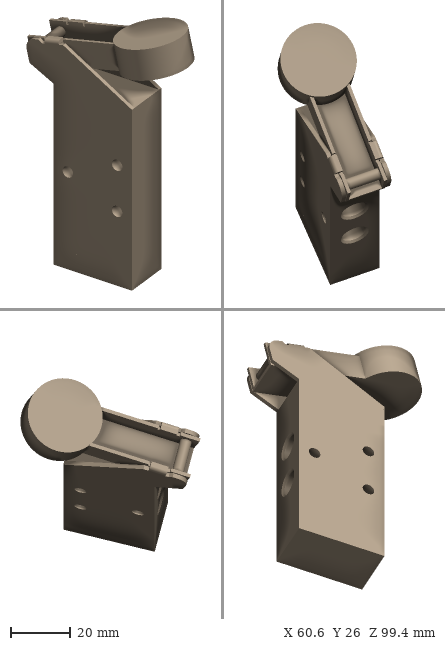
import cadquery as cq
import math

block_length = 31.9
block_width = 17.9
cap_height = 7.1
block_top = 69.1
cross_hole_diameter = 4.3
cross_hole_places = [(-10.1, 38.0), (9.9, 47.0), (9.9, 29.0)]
port_heights = [29.4, 46.5]
port_diameter = 8.7
port_mouth_diameter = 10.1
port_chamfer = (port_mouth_diameter - port_diameter) / 2
port_depth = 9.9

lever_tilt = 13.0
lever_corner_x = -27.8
lever_corner_z = 84.5
lever_width = 14.4
lever_depth = 10.0
lever_wall = 1.2
knob_diameter = 26.0
knob_height = 11.5
knob_center = 46.9
pin_diameter = 4.0
pin_inset = 4.0

sheet = 1.5
base_top = block_top + sheet
cheek_rear_depth = 9.1
cheek_shoulder = 15.9
cheek_ramp_start = 5.8
notch_start = 7.0
notch_end = 14.8
notch_depth = 1.3
tab_start = 8.1
tab_end = 14.1
tab_rise = 0.2
tab_overhang = 0.1
tab_bend_radius = 1.4


def to_block_frame(along, normal):
    """Return the X and Z of a point given in the tilted frame of the lever."""
    tilt = math.radians(lever_tilt)
    x = lever_corner_x + along * math.cos(tilt) - normal * math.sin(tilt)
    z = lever_corner_z + along * math.sin(tilt) + normal * math.cos(tilt)
    return x, z


def place_lever_part(part):
    """Move a part from the lever frame (x along, y across, z normal) to its tilted place."""
    return part.rotate((0, 0, 0), (0, 1, 0), -lever_tilt).translate((lever_corner_x, 0, lever_corner_z))


def box_between(x_range, y_range, z_range):
    """Make a box from its lower and upper limits along each axis."""
    sizes = [high - low for low, high in (x_range, y_range, z_range)]
    corner = (x_range[0], y_range[0], z_range[0])
    return cq.Workplane("XY").box(*sizes, centered=False).translate(corner)


def make_cap():
    """Plain end cap under the block."""
    return cq.Workplane("XY").box(block_length, block_width, cap_height, centered=(True, True, False))


def make_block():
    """Valve block with three through holes and two chamfered blind ports."""
    block = (
        cq.Workplane("XY")
        .box(block_length, block_width, block_top - cap_height, centered=(True, True, False))
        .translate((0, 0, cap_height))
    )
    cross_holes = (
        cq.Workplane("XZ")
        .pushPoints(cross_hole_places)
        .circle(cross_hole_diameter / 2)
        .extrude(block_width / 2, both=True)
    )
    block = block.cut(cross_holes)
    for height in port_heights:
        mouth_plane = cq.Workplane("YZ", origin=(-block_length / 2, 0, height))
        bore = mouth_plane.circle(port_diameter / 2).extrude(port_depth)
        mouth = (
            mouth_plane.circle(port_mouth_diameter / 2)
            .workplane(offset=port_chamfer)
            .circle(port_diameter / 2)
            .loft()
        )
        block = block.cut(bore).cut(mouth)
    return block


def make_lever():
    """U-shaped arm with notched walls, ending in a round knob."""
    half_width = lever_width / 2
    inner_half_width = half_width - lever_wall
    arm = box_between((0, knob_center), (-half_width, half_width), (-lever_depth, 0))
    channel = box_between(
        (0, knob_center), (-inner_half_width, inner_half_width), (lever_wall - lever_depth, 0)
    )
    notches = box_between((notch_start, notch_end), (-half_width, half_width), (-notch_depth, 0))
    knob = (
        cq.Workplane("XY", origin=(knob_center, 0, -lever_depth))
        .circle(knob_diameter / 2)
        .extrude(knob_height)
    )
    return place_lever_part(arm.cut(channel).cut(notches).union(knob))


def make_cheeks():
    """Two mirrored side plates, rounded about the pin and notched beside the tabs."""
    arc_offset = pin_inset * (1 - math.sqrt(0.5))
    outline = (
        cq.Workplane("XZ")
        .moveTo(-block_length / 2, block_top)
        .lineTo(-block_length / 2, base_top)
        .lineTo(*to_block_frame(0, -cheek_rear_depth))
        .lineTo(*to_block_frame(0, -pin_inset))
        .threePointArc(to_block_frame(arc_offset, -arc_offset), to_block_frame(pin_inset, 0))
        .lineTo(*to_block_frame(cheek_ramp_start, 0))
        .lineTo(*to_block_frame(notch_start, -notch_depth))
        .lineTo(*to_block_frame(cheek_shoulder, -notch_depth))
        .lineTo(block_length / 2, base_top)
        .lineTo(block_length / 2, block_top)
        .close()
    )
    near_cheek = outline.extrude(sheet).translate((0, sheet - block_width / 2, 0))
    return near_cheek.union(near_cheek.mirror("XZ"))


def make_tabs():
    """Two tabs bent inwards from the cheeks, filling the notches of the lever walls."""
    near_tab = (
        box_between(
            (tab_start, tab_end),
            (-block_width / 2, lever_wall + tab_overhang - lever_width / 2),
            (-notch_depth, tab_rise),
        )
        .edges("|X and <Y and >Z")
        .fillet(tab_bend_radius)
    )
    return place_lever_part(near_tab.union(near_tab.mirror("XZ")))


def make_pin():
    """Pivot pin through both lever walls, ending flush with the cheeks."""
    return (
        cq.Workplane("XZ")
        .center(*to_block_frame(pin_inset, -pin_inset))
        .circle(pin_diameter / 2)
        .extrude(block_width / 2, both=True)
    )


def make_lever_head():
    """Bracket, pin and lever joined into the operating head on top of the block."""
    base_plate = (
        cq.Workplane("XY", origin=(0, 0, block_top))
        .box(block_length, block_width, sheet, centered=(True, True, False))
    )
    head = base_plate
    for part in (make_cheeks(), make_tabs(), make_pin(), make_lever()):
        head = head.union(part)
    return head


end_cap = make_cap()
valve_block = make_block()
lever_head = make_lever_head()

result = cq.Compound.makeCompound([end_cap.val(), valve_block.val(), *lever_head.vals()])